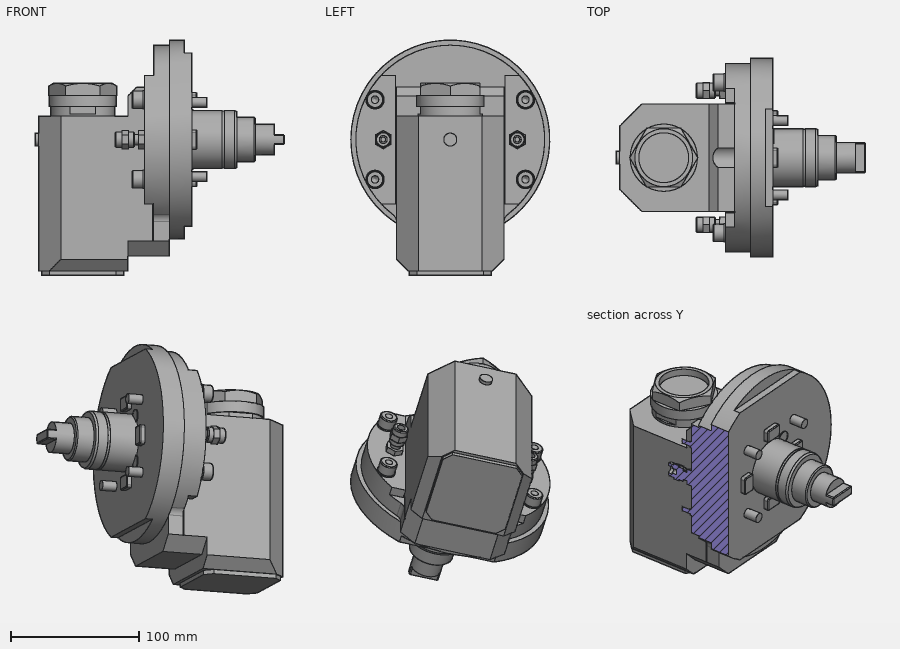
import cadquery as cq
import math


flange_dia = 155.0
flange_rear_x = -17.5
flange_flat_z = 67.5
flange_flat_depth = 5.8
disc_radius = 73.5
disc_rear_x = -29.9
plate_rear_x = -37.0
plate_height = 100.1
plate_inner_y = 42.7

block_left_x = -119.3
block_half_y = 42.0
block_top_z = 18.2
block_bottom_z = -102.5
block_corner = 17.3
block_bottom_bevel = 9.1
step_x = -49.9
ridge_top_z = 41.0
ridge_bevel = 7.0
scoop_radius = 9.3
scoop_depth = 3.9
foot_bottom_z = -90.8
foot_bevel = 11.6
foot_fillet = 7.0
relief_width = 0.8
relief_depth = 0.5

tool_axis_x = -85.0
plug_radius = 5.0
plug_length = 2.7
cover_side = 64.0
cover_corner = 6.2
cover_thickness = 3.3

screw_y = 58.5
screw_z = 31.0
screw_head_radius = 6.8
screw_head_left_x = -46.8
screw_head_chamfer = 0.8
screw_collar_radius = 7.2
screw_collar_thickness = 1.2
screw_socket_radius = 3.0
screw_socket_depth = 3.0

nozzle_y = 52.2
nozzle_hex_flats = 12.5
nozzle_radius = 6.0
nozzle_left_x = -59.8
nozzle_hex_left_x = -54.5
nozzle_hex_right_x = -49.3
nozzle_neck_left_x = -44.8
nozzle_neck_right_x = -41.5
nozzle_neck_radius = 4.0
nozzle_chamfer = 0.8
nozzle_bore_radius = 3.1
nozzle_bore_depth = 3.9
nozzle_pilot_radius = 2.0
nozzle_pilot_depth = 7.8

shank_radius = 22.7
shank_end_x = 35.1
shank_chamfer_length = 2.0
shank_chamfer_height = 0.8
seal_groove_x = 23.3
seal_groove_width = 2.0
seal_groove_depth = 0.4
neck_radius = 17.5
neck_end_x = 49.5
neck_chamfer = 1.0
drive_radius = 12.0
tang_start_x = 64.2
shaft_end_x = 72.0
tang_thickness = 7.8
tang_chamfer = 0.8

pin_offset = 29.0
pin_radius = 3.9
pin_length = 11.6
key_width = 15.1
key_inner_radius = 25.8
key_outer_radius = 36.7
key_height = 4.0
key_corner_radius = 2.0
key_chamfer = 0.8
seat_y = 16.3
seat_z = 18.0
seat_radius = 5.5
seat_height = 0.8

chuck_neck_radius = 25.0
chuck_flats = 46.0
neck_flat_bottom_z = 20.0
collar_bottom_z = 25.8
collar_radius = 26.2
hex_bottom_z = 34.3
chuck_top_z = 44.0
hex_chamfer_radius = 22.5
hex_chamfer_angle = 30.0
bore_radius = 19.4
bore_depth = 5.8

both_signs = (-1, 1)


def bar_x(radius, x_start, x_end, y=0.0, z=0.0):
    """Round bar along X."""
    return (
        cq.Workplane("YZ", origin=(x_start, y, z)).circle(radius).extrude(x_end - x_start)
    )


def hex_x(across_flats, x_start, x_end, y):
    """Hexagonal bar along X with two corners pointing up and down."""
    corner_dia = across_flats / math.cos(math.pi / 6)
    return (
        cq.Workplane("YZ", origin=(x_start, y, 0))
        .transformed(rotate=(0, 0, 90))
        .polygon(6, corner_dia)
        .extrude(x_end - x_start)
    )


def box_between(x_range, y_range, z_range):
    """Box given by its limits along each axis."""
    sizes = [high - low for low, high in (x_range, y_range, z_range)]
    return cq.Workplane("XY").box(*sizes, centered=False).translate(
        (x_range[0], y_range[0], z_range[0])
    )


def make_block():
    """Head block with its foot, ridge and bevels."""
    body_points = [
        (block_left_x, block_top_z),
        (step_x, block_top_z),
        (step_x, block_bottom_z),
        (block_left_x, block_bottom_z),
    ]
    body = (
        cq.Workplane("XZ").polyline(body_points).close().extrude(block_half_y, both=True)
        .faces("<Z").edges("|X").chamfer(block_bottom_bevel)
        .faces("<X").edges("|Z").chamfer(block_corner)
    )
    rear_points = [
        (step_x, foot_bottom_z),
        (step_x, ridge_top_z - ridge_bevel),
        (step_x + ridge_bevel, ridge_top_z),
        (disc_rear_x, ridge_top_z),
        (disc_rear_x, foot_bottom_z),
    ]
    rear = (
        cq.Workplane("XZ").polyline(rear_points).close().extrude(block_half_y, both=True)
        .faces("<Z").edges("|X").chamfer(foot_bevel)
    )
    scoop = bar_x(scoop_radius, step_x, disc_rear_x, z=ridge_top_z - scoop_depth + scoop_radius)
    return body.union(rear.cut(scoop))


def make_foot():
    """Part of the foot under the small disc, blended into that disc."""
    foot_top_z = foot_bottom_z + foot_bevel
    blend_y = block_half_y + foot_fillet
    blend_z = -math.sqrt((disc_radius + foot_fillet) ** 2 - blend_y**2)
    tangent_scale = disc_radius / (disc_radius + foot_fillet)
    tangent_y = blend_y * tangent_scale
    tangent_z = blend_z * tangent_scale
    arc_angle = (math.pi + math.atan2(-blend_z, -blend_y)) / 2
    arc_y = blend_y + foot_fillet * math.cos(arc_angle)
    arc_z = blend_z + foot_fillet * math.sin(arc_angle)
    foot_bottom_y = block_half_y - foot_bevel
    return (
        cq.Workplane("YZ", origin=(disc_rear_x, 0, 0))
        .moveTo(-foot_bottom_y, foot_bottom_z)
        .lineTo(foot_bottom_y, foot_bottom_z)
        .lineTo(block_half_y, foot_top_z)
        .lineTo(block_half_y, blend_z)
        .threePointArc((arc_y, arc_z), (tangent_y, tangent_z))
        .lineTo(-tangent_y, tangent_z)
        .threePointArc((-arc_y, arc_z), (-block_half_y, blend_z))
        .lineTo(-block_half_y, foot_top_z)
        .close()
        .extrude(flange_rear_x - disc_rear_x)
    )


def cut_relief_grooves(body):
    """Shallow upright groove on each side, between the block and the foot."""
    groove = box_between(
        (disc_rear_x - relief_width, disc_rear_x),
        (block_half_y - relief_depth, block_half_y),
        (foot_bottom_z + foot_bevel, -plate_height / 2),
    )
    body = body.cut(groove).cut(groove.mirror("XZ"))
    return body


def make_flange():
    """Large disc with two flats, small disc behind it and the two side plates."""
    flange_radius = flange_dia / 2
    flange = bar_x(flange_radius, flange_rear_x, 0)
    flat_zone = box_between(
        (-flange_flat_depth, 0),
        (-flange_radius, flange_radius),
        (flange_flat_z, flange_dia),
    )
    flange = flange.cut(flat_zone).cut(flat_zone.mirror("XY"))
    plates = bar_x(disc_radius, plate_rear_x, disc_rear_x).intersect(
        box_between(
            (plate_rear_x, disc_rear_x),
            (plate_inner_y, disc_radius),
            (-plate_height / 2, plate_height / 2),
        )
    )
    disc = bar_x(disc_radius, disc_rear_x, flange_rear_x)
    return flange.union(disc).union(plates).union(plates.mirror("XZ"))


def make_screw(y, z):
    """Cap screw head with a thin collar and a conical socket."""
    head = (
        bar_x(screw_head_radius, screw_head_left_x, plate_rear_x, y, z)
        .faces("<X").chamfer(screw_head_chamfer)
    )
    collar = bar_x(
        screw_collar_radius, plate_rear_x - screw_collar_thickness, plate_rear_x, y, z
    )
    socket = cq.Workplane(
        cq.Solid.makeCone(
            screw_socket_radius, 0, screw_socket_depth,
            cq.Vector(screw_head_left_x, y, z), cq.Vector(1, 0, 0),
        )
    )
    return head.union(collar).cut(socket)


def make_nozzle(y):
    """Coolant nozzle with two hexagons, a neck and a stepped bore."""
    tip = (
        bar_x(nozzle_radius, nozzle_left_x, nozzle_neck_left_x, y)
        .faces("<X or >X").chamfer(nozzle_chamfer)
    )
    neck = bar_x(nozzle_neck_radius, nozzle_neck_left_x, plate_rear_x, y)
    tip_hex = hex_x(nozzle_hex_flats, nozzle_hex_left_x, nozzle_hex_right_x, y)
    base_hex = hex_x(nozzle_hex_flats, nozzle_neck_right_x, plate_rear_x, y)
    bore = bar_x(nozzle_bore_radius, nozzle_left_x, nozzle_left_x + nozzle_bore_depth, y)
    pilot = bar_x(nozzle_pilot_radius, nozzle_left_x, nozzle_left_x + nozzle_pilot_depth, y)
    return tip.union(neck).union(tip_hex).union(base_hex).cut(bore).cut(pilot)


def make_shaft():
    """Stepped shaft with a seal groove and a flat drive tang."""
    groove_end_x = seal_groove_x + seal_groove_width
    profile = [
        (0, 0),
        (0, shank_radius),
        (seal_groove_x, shank_radius),
        (seal_groove_x, shank_radius - seal_groove_depth),
        (groove_end_x, shank_radius - seal_groove_depth),
        (groove_end_x, shank_radius),
        (shank_end_x - shank_chamfer_length, shank_radius),
        (shank_end_x, shank_radius - shank_chamfer_height),
        (shank_end_x, neck_radius),
        (neck_end_x - neck_chamfer, neck_radius),
        (neck_end_x, neck_radius - neck_chamfer),
        (neck_end_x, drive_radius),
        (tang_start_x, drive_radius),
        (tang_start_x, 0),
    ]
    steps = cq.Workplane("XY").polyline(profile).close().revolve(360, (0, 0, 0), (1, 0, 0))
    tang = bar_x(drive_radius, tang_start_x, shaft_end_x).intersect(
        box_between(
            (tang_start_x, shaft_end_x),
            (-drive_radius, drive_radius),
            (-tang_thickness / 2, tang_thickness / 2),
        )
    )
    tang = tang.edges("|X or >X").chamfer(tang_chamfer)
    return steps.union(tang)


def make_key(angle):
    """Rounded key standing on the mounting face, turned about the shaft axis."""
    key = (
        box_between(
            (0, key_height),
            (key_inner_radius, key_outer_radius),
            (-key_width / 2, key_width / 2),
        )
        .edges("|X").fillet(key_corner_radius)
        .faces(">X").chamfer(key_chamfer)
    )
    return key.rotate((0, 0, 0), (1, 0, 0), angle)


def make_plug():
    """Round plug on the left face of the block."""
    return bar_x(plug_radius, block_left_x - plug_length, block_left_x)


def make_cover():
    """Square cover under the block, centred on the tool axis."""
    return (
        cq.Workplane("XY", origin=(tool_axis_x, 0, block_bottom_z))
        .rect(cover_side, cover_side)
        .extrude(-cover_thickness)
        .edges("|Z").chamfer(cover_corner)
    )


def make_housing():
    """Block, flange, shaft and everything fixed to them."""
    body = make_block().union(make_flange()).union(make_foot())
    body = cut_relief_grooves(body)
    body = body.union(make_shaft()).union(make_plug()).union(make_cover())
    for y_sign in both_signs:
        body = body.union(make_nozzle(y_sign * nozzle_y))
        for z_sign in both_signs:
            body = body.union(make_screw(y_sign * screw_y, z_sign * screw_z))
            pin = bar_x(pin_radius, 0, pin_length, y_sign * pin_offset, z_sign * pin_offset)
            body = body.union(pin)
    for angle in (0, 90, 180, 270):
        body = body.union(make_key(angle))
    for z_sign in both_signs:
        body = body.union(bar_x(seat_radius, 0, seat_height, seat_y, z_sign * seat_z))
    return body


def make_chuck():
    """Tool chuck on top of the block: flatted neck, collar and hexagon nut."""
    def round_z(radius, z_start, z_end):
        return (
            cq.Workplane("XY", origin=(tool_axis_x, 0, z_start))
            .circle(radius).extrude(z_end - z_start)
        )

    base = round_z(chuck_neck_radius, block_top_z, neck_flat_bottom_z)
    flatted_neck = round_z(chuck_neck_radius, neck_flat_bottom_z, collar_bottom_z).intersect(
        cq.Workplane("XY", origin=(tool_axis_x, 0, 0))
        .rect(2 * chuck_neck_radius, chuck_flats).extrude(collar_bottom_z)
    )
    collar = round_z(collar_radius, collar_bottom_z, hex_bottom_z)
    hex_corner_radius = chuck_flats / 2 / math.cos(math.pi / 6)
    nut_height = chuck_top_z - hex_bottom_z
    nut = (
        cq.Workplane("XY", origin=(tool_axis_x, 0, hex_bottom_z))
        .polygon(6, 2 * hex_corner_radius).extrude(nut_height)
    )
    chamfer_width = hex_corner_radius - hex_chamfer_radius
    chamfer_drop = chamfer_width * math.tan(math.radians(hex_chamfer_angle))
    chamfer_envelope = (
        round_z(hex_corner_radius, hex_bottom_z, chuck_top_z)
        .faces(">Z").chamfer(chamfer_drop, chamfer_width)
    )
    nut = nut.intersect(chamfer_envelope)
    bore = round_z(bore_radius, chuck_top_z - bore_depth, chuck_top_z)
    return base.union(flatted_neck).union(collar).union(nut).cut(bore)


housing = make_housing()
chuck = make_chuck()
result = cq.Compound.makeCompound([housing.val(), chuck.val()])